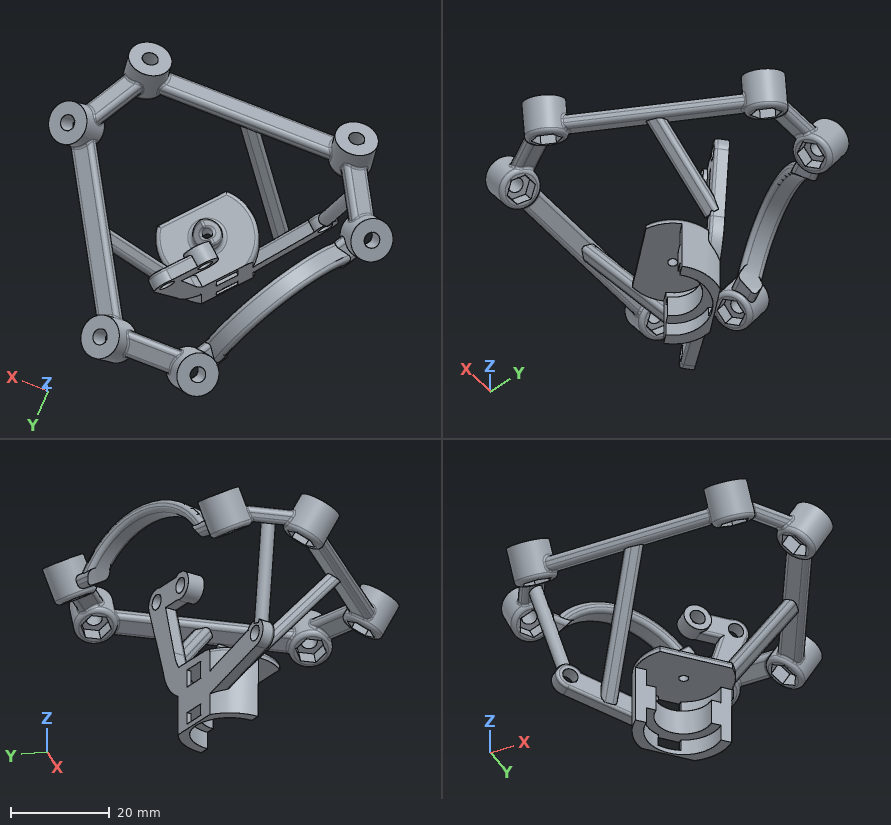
import cadquery as cq
import math


SOCKET_D = 9.0
SOCKET_LENGTH = 8.0
SOCKET_ROUND = 1.0
SOCKET_TILT = 30.0
SOCKET_TOP_TO_BAR = 5.35
SCREW_D = 3.3
NUT_FLATS = 5.5
NUT_DEPTH = 3.0
SOCKET_SPACING = 44.9
JOINT_ROUND = 0.5
ON_SURFACE = 0.01

BAR_WIDTH = 5.2
BAR_HEIGHT = 3.0
BAR_ROUND = 1.05
LONG_SIDE_RADIUS = 22.6
LONG_SIDE_Z = 33.2
SHORT_SIDE_RADIUS = 30.7
SHORT_SIDE_Z = 35.1
SHORT_BAR_LENGTH = 17.1
ARCH_TOP_Z = 43.4
ARCH_RADIUS = 20.8
ARCH_WIDTH = 5.0
ARCH_THICKNESS = 2.6
ARCH_ROUND = 1.0
FRONT, RIGHT, ARCHED = -90, 30, 150
LONG_SIDES = (FRONT, RIGHT, ARCHED)
SHORT_SIDES = (90, 210, 330)

MOUNT_ANGLE = 49.0
FACE_Y = 8.7
ARM_THICKNESS = 3.0
ARM_ROUND = 0.6
CUP_RADIUS = 10.5
CUP_HEIGHT = 13.15
FLANGE_TOP = 14.95
FLANGE_FLAT_Y = -6.9
FLANGE_ROUND = 0.9
BORE_RADIUS = 6.0
STRAP_RADIUS = 8.1
LOWER_STRAP_TOP = 3.65
UPPER_STRAP_BOTTOM = 9.4
WINDOW_WIDTH = 4.9
WINDOW_SILL = 1.1

NOZZLE_D = 6.0
NOZZLE_RIDGE_Z = 19.6
NOZZLE_EAVE_Z = 17.25
NOZZLE_FOOT_ROUND = 1.0
NOZZLE_EDGE_ROUND = 0.45
NOZZLE_BORE_D = 2.0

EYE_D = 6.0
EYE_HOLE_D = 3.3
OUTER_EYE = (13.7, 32.6)
INNER_EYE = (5.0, 33.0)
LOWER_EYE = (-22.4, 11.75)
INNER_EYE_THICKNESS = 3.9

ARM_ROOT_Z = 8.55
OUTER_BEND = ((9.4, 11.6), (11.3, 16.0))
OUTER_EDGE_TOP = (16.6, 32.0)
INNER_EDGE_TOP = (10.4, 30.2)
INNER_BEND = ((7.3, 18.9), (6.6, 16.8), (5.65, FLANGE_TOP))
LINK_TOP_Z = 35.45
LINK_BOTTOM_Z = 30.2
LOWER_ARM_ROOT = ((-3.0, 8.9), (-3.0, 3.95), (-5.9, 4.6))
LOWER_ARM_TOP_RISE = 2.3
LOWER_ARM_BOTTOM_SHIFT = 0.75
LOWER_ARM_BOTTOM_DROP = 2.9

STRUT_WIDTH = 3.6
STRUT_HEIGHT = 3.0
STRUT_ROUND = 1.0
LOWER_STRUT_ROLL = 0
UPPER_STRUT_ROLL = 0
LOWER_STRUT_TOP = (0.6, -22.6, 33.4)
LOWER_STRUT_FOOT = (-14.3, -5.9, 7.95)
UPPER_STRUT_TOP = (19.55, 10.9, 32.7)
UPPER_STRUT_FOOT = (1.8, 12.0, 18.05)
ROD_D = 3.0
ROD_TOP = (-26.15, -15.45, 35.1)
ROD_FOOT = (-20.65, -12.4, 13.9)


def around(shape, angle):
    return shape.rotate((0, 0, 0), (0, 0, 1), angle)


def polar(radius, angle, z):
    turn = math.radians(angle)
    return cq.Vector(radius * math.cos(turn), radius * math.sin(turn), z)


def rounded_bar(start, end, width_direction, width, height, radius):
    """A straight bar of rounded rectangular section between two points."""
    span = end - start
    plane = cq.Plane(start.toTuple(), width_direction.toTuple(), span.toTuple())
    profile = cq.Sketch().rect(width, height).vertices().fillet(radius)
    return cq.Workplane(plane).placeSketch(profile).extrude(span.Length)


def tilt_vectors(angle):
    """The socket axis and the bar's width direction for the side facing the given angle."""
    tilt = math.radians(SOCKET_TILT)
    axis = polar(math.sin(tilt), angle, math.cos(tilt))
    width_direction = polar(-math.cos(tilt), angle, math.sin(tilt))
    return axis, width_direction


def side_point(radius, angle, z, along):
    return polar(radius, angle, z) + polar(along, angle + 90, 0)


def side_bar(angle, radius, z, length):
    start = side_point(radius, angle, z, -length / 2)
    end = side_point(radius, angle, z, length / 2)
    return rounded_bar(start, end, tilt_vectors(angle)[1], BAR_WIDTH, BAR_HEIGHT, BAR_ROUND)


def long_bar(angle):
    return side_bar(angle, LONG_SIDE_RADIUS, LONG_SIDE_Z, SOCKET_SPACING)


def arched_bar():
    """The long side that rises as an arch; built facing -Y and turned into place."""
    inner_radius = ARCH_RADIUS - ARCH_THICKNESS
    arch_plane = cq.Workplane("XZ", origin=(0, -LONG_SIDE_RADIUS, 0))
    centred = arch_plane.center(0, ARCH_TOP_Z - ARCH_RADIUS)
    ring = centred.circle(ARCH_RADIUS).circle(inner_radius).extrude(ARCH_WIDTH / 2, both=True)
    ring = ring.edges("%CIRCLE").fillet(ARCH_ROUND)
    above_bar = cq.Workplane("XZ", origin=(0, -LONG_SIDE_RADIUS, LONG_SIDE_Z + ARCH_RADIUS))
    above_bar = above_bar.rect(3 * ARCH_RADIUS, 2 * ARCH_RADIUS).extrude(ARCH_WIDTH, both=True)
    opening = centred.circle(inner_radius).extrude(2 * BAR_WIDTH, both=True)
    stubs = long_bar(FRONT).cut(opening)
    return around(ring.intersect(above_bar).union(stubs), ARCHED - FRONT)


def socket_nodes():
    """For each socket: the point where its axis meets the bar, its axis and the width direction."""
    nodes = []
    for angle in LONG_SIDES:
        axis, width_direction = tilt_vectors(angle)
        for along in (-SOCKET_SPACING / 2, SOCKET_SPACING / 2):
            node = side_point(LONG_SIDE_RADIUS, angle, LONG_SIDE_Z, along)
            nodes.append((node, axis, width_direction))
    return nodes


def sockets():
    """The six socket cylinders, and the screw holes and nut pockets to cut from them."""
    bodies = cq.Workplane()
    cuts = cq.Workplane()
    for node, axis, width_direction in socket_nodes():
        bottom = node + axis * (SOCKET_TOP_TO_BAR - SOCKET_LENGTH)
        plane = cq.Plane(bottom.toTuple(), width_direction.toTuple(), axis.toTuple())
        base = cq.Workplane(plane)
        lower_end = cq.selectors.DirectionMinMaxSelector(axis, False)
        body = base.circle(SOCKET_D / 2).extrude(SOCKET_LENGTH)
        bodies = bodies.union(body.faces(lower_end).edges().fillet(SOCKET_ROUND))
        hole = base.circle(SCREW_D / 2).extrude(SOCKET_LENGTH)
        pocket = base.polygon(6, NUT_FLATS, circumscribed=True).extrude(NUT_DEPTH)
        cuts = cuts.union(hole).union(pocket)
    return bodies, cuts


def is_joint(edge):
    """True for an edge where a bar runs into the round wall of a socket."""
    if edge.geomType() in ("LINE", "CIRCLE"):
        return False
    points = [edge.positionAt(part) for part in (0, 0.3, 0.7, 1)]
    for node, axis, _ in socket_nodes():
        gaps = [abs((point - node).cross(axis).Length - SOCKET_D / 2) for point in points]
        if max(gaps) < ON_SURFACE:
            return True
    return False


def frame(socket_bodies):
    body = socket_bodies
    for angle in (FRONT, RIGHT):
        body = body.union(long_bar(angle))
    for angle in SHORT_SIDES:
        body = body.union(side_bar(angle, SHORT_SIDE_RADIUS, SHORT_SIDE_Z, SHORT_BAR_LENGTH))
    body = body.edges().filter(is_joint).fillet(JOINT_ROUND)
    return body.union(arched_bar())


def outer_face():
    """Workplane on the plate's outer face; extruding goes inwards."""
    return cq.Workplane("XZ", origin=(0, FACE_Y, 0))


def eye(place, thickness):
    return outer_face().center(*place).circle(EYE_D / 2).extrude(thickness)


def upper_arm():
    root_x = math.sqrt(CUP_RADIUS**2 - FACE_Y**2)
    stem = (
        outer_face()
        .moveTo(root_x, ARM_ROOT_Z)
        .threePointArc(*OUTER_BEND)
        .lineTo(*OUTER_EDGE_TOP)
        .lineTo(*INNER_EDGE_TOP)
        .lineTo(*INNER_BEND[0])
        .threePointArc(*INNER_BEND[1:])
        .lineTo(0, FLANGE_TOP)
        .lineTo(0, ARM_ROOT_Z)
        .close()
        .extrude(ARM_THICKNESS)
    )
    link_centre = ((OUTER_EYE[0] + INNER_EYE[0]) / 2, (LINK_TOP_Z + LINK_BOTTOM_Z) / 2)
    link = outer_face().center(*link_centre)
    link = link.rect(OUTER_EYE[0] - INNER_EYE[0], LINK_TOP_Z - LINK_BOTTOM_Z).extrude(ARM_THICKNESS)
    arm = stem.union(link).union(eye(OUTER_EYE, ARM_THICKNESS)).clean()
    arm = arm.faces("<Y").edges().fillet(ARM_ROUND)
    return arm.union(eye(INNER_EYE, INNER_EYE_THICKNESS))


def lower_arm():
    eye_x, eye_z = LOWER_EYE
    top_corner = (eye_x, eye_z + LOWER_ARM_TOP_RISE)
    bottom_corner = (eye_x - LOWER_ARM_BOTTOM_SHIFT, eye_z - LOWER_ARM_BOTTOM_DROP)
    stem = outer_face().polyline([top_corner, *LOWER_ARM_ROOT, bottom_corner]).close()
    arm = stem.extrude(ARM_THICKNESS).union(eye(LOWER_EYE, ARM_THICKNESS))
    return arm.faces("<Y").edges().fillet(ARM_ROUND)


def trimmed_disc(flat_y, bottom, top):
    """A disc on the motor axis, cut flat at flat_y and at the plate's outer face."""
    limits = cq.Workplane().box(3 * CUP_RADIUS, FACE_Y - flat_y, top, centered=(True, False, False))
    disc = cq.Workplane(origin=(0, 0, bottom)).circle(CUP_RADIUS).extrude(top - bottom)
    return disc.intersect(limits.translate((0, flat_y, 0)))


def motor_cup():
    flange = trimmed_disc(FLANGE_FLAT_Y, CUP_HEIGHT, FLANGE_TOP)
    flange = flange.faces(">Z").edges("not(>Y)").fillet(FLANGE_ROUND)
    return trimmed_disc(0, 0, CUP_HEIGHT).union(flange)


def motor_space():
    """The stepped bore for the motor, with the strap windows through the plate."""
    space = cq.Workplane().circle(BORE_RADIUS).extrude(CUP_HEIGHT)
    for bottom, top, sill in (
        (0, LOWER_STRAP_TOP, WINDOW_SILL),
        (UPPER_STRAP_BOTTOM, CUP_HEIGHT, UPPER_STRAP_BOTTOM),
    ):
        groove = cq.Workplane(origin=(0, 0, bottom)).circle(STRAP_RADIUS).extrude(top - bottom)
        window = cq.Workplane().box(WINDOW_WIDTH, FACE_Y, top - sill, centered=(True, False, False))
        space = space.union(groove).union(window.translate((0, 0, sill)))
    return space


def nozzle_bore():
    return cq.Workplane().circle(NOZZLE_BORE_D / 2).extrude(NOZZLE_RIDGE_Z)


def nozzle():
    radius = NOZZLE_D / 2
    height = NOZZLE_RIDGE_Z - FLANGE_TOP
    body = cq.Workplane(origin=(0, 0, FLANGE_TOP)).circle(radius).extrude(height)
    left_side = [(-radius, 0), (-radius, NOZZLE_EAVE_Z)]
    right_side = [(radius, NOZZLE_EAVE_Z), (radius, 0)]
    roof = cq.Workplane("XZ").polyline([*left_side, (0, NOZZLE_RIDGE_Z), *right_side]).close()
    crown = body.intersect(roof.extrude(radius, both=True)).cut(nozzle_bore())
    return crown.edges("not(<Z)").edges("not(|Z)").fillet(NOZZLE_EDGE_ROUND)


def mount():
    base = motor_cup().union(upper_arm()).union(lower_arm()).cut(motor_space())
    reach = NOZZLE_D / 2 + 0.1
    foot = cq.selectors.BoxSelector(
        (-reach, -reach, FLANGE_TOP - 0.1), (reach, reach, FLANGE_TOP + 0.1), True
    )
    body = base.union(nozzle()).edges(foot).fillet(NOZZLE_FOOT_ROUND)
    return around(body.cut(nozzle_bore()), MOUNT_ANGLE)


def eye_holes():
    holes = cq.Workplane()
    for place in (OUTER_EYE, INNER_EYE, LOWER_EYE):
        hole = outer_face().center(*place).circle(EYE_HOLE_D / 2).extrude(INNER_EYE_THICKNESS)
        holes = holes.union(hole)
    return around(holes, MOUNT_ANGLE)


def strut(top, foot, roll):
    """A strut whose width lies level, then rolled about its own length."""
    start = cq.Vector(*top)
    end = cq.Vector(*foot)
    level = cq.Vector(0, 0, 1).cross(end - start).normalized()
    rise = (end - start).normalized().cross(level)
    turn = math.radians(roll)
    width_direction = level * math.cos(turn) + rise * math.sin(turn)
    return rounded_bar(start, end, width_direction, STRUT_WIDTH, STRUT_HEIGHT, STRUT_ROUND)


def rod():
    span = cq.Vector(*ROD_FOOT) - cq.Vector(*ROD_TOP)
    plane = cq.Plane(origin=ROD_TOP, normal=span.toTuple())
    return cq.Workplane(plane).circle(ROD_D / 2).extrude(span.Length)


socket_bodies, socket_cuts = sockets()
result = frame(socket_bodies)
result = result.union(strut(LOWER_STRUT_TOP, LOWER_STRUT_FOOT, LOWER_STRUT_ROLL))
result = result.union(strut(UPPER_STRUT_TOP, UPPER_STRUT_FOOT, UPPER_STRUT_ROLL))
result = result.union(rod()).cut(socket_cuts).union(mount()).cut(eye_holes())